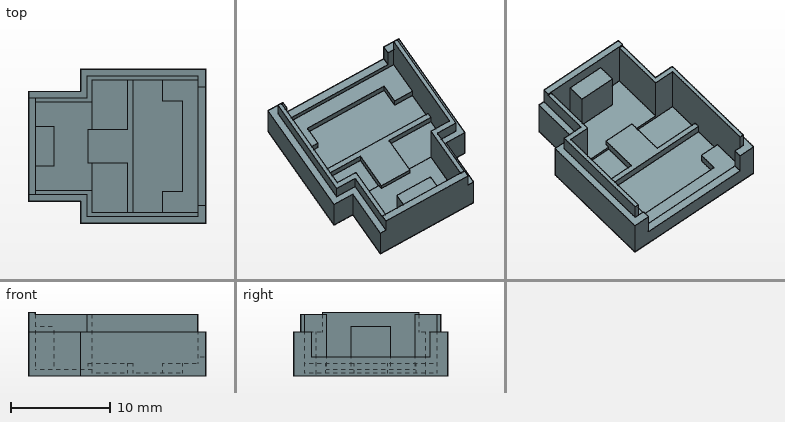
import cadquery as cq

length = 17.85
wide_width = 15.53
narrow_width = 11.07
shoulder_x = 5.25
base_height = 4.45
lip_height = 6.21
nose_wall_height = 6.4

lip_shoulder_x = 5.85
lip_narrow_width = 9.75
lip_wide_width = 14.14

nose_wall = 0.68
cavity_shoulder_x = 6.39
cavity_end_x = 17.05
cavity_narrow_width = 8.89
cavity_wide_width = 13.32
wide_floor = 0.34
narrow_floor = 0.66

opening_width = 11.96
opening_sill = 1.93

rail_height = 1.25
crossbar_start_x = 9.96
crossbar_end_x = 10.5
stem_start_x = 5.98
stem_width = 3.4
bracket_start_x = 13.48
bracket_web_x = 15.48
bracket_gap = 9.1

block_end_x = 2.53
block_width = 4.0
block_top = 5.0


def centred_box(x_start, x_end, width, z_bottom, z_top):
    """Box between two X and two Z positions, centred on Y = 0."""
    box = cq.Workplane("XY").box(x_end - x_start, width, z_top - z_bottom, centered=(False, True, False))
    return box.translate((x_start, 0, z_bottom))


def stepped_body(x_start, x_step, x_end, narrow, wide, z_top):
    """Narrow nose followed by a wide body, standing on Z = 0."""
    nose = centred_box(x_start, x_step, narrow, 0, z_top)
    return nose.union(centred_box(x_step, x_end, wide, 0, z_top))


shell = stepped_body(0, shoulder_x, length, narrow_width, wide_width, base_height)
shell = shell.union(
    stepped_body(0, lip_shoulder_x, cavity_end_x, lip_narrow_width, lip_wide_width, lip_height)
)
shell = shell.union(centred_box(0, nose_wall, lip_narrow_width, 0, nose_wall_height))

shell = shell.cut(centred_box(nose_wall, cavity_shoulder_x, cavity_narrow_width, narrow_floor, lip_height))
shell = shell.cut(centred_box(cavity_shoulder_x, cavity_end_x, cavity_wide_width, wide_floor, lip_height))
shell = shell.cut(centred_box(cavity_end_x, length, opening_width, opening_sill, base_height))

crossbar = centred_box(crossbar_start_x, crossbar_end_x, cavity_wide_width, wide_floor, rail_height)
stem = centred_box(stem_start_x, crossbar_start_x, stem_width, wide_floor, rail_height)

bracket = centred_box(bracket_start_x, cavity_end_x, cavity_wide_width, wide_floor, rail_height)
bracket = bracket.cut(centred_box(bracket_start_x, bracket_web_x, bracket_gap, wide_floor, rail_height))

nose_block = centred_box(nose_wall, block_end_x, block_width, narrow_floor, block_top)

result = shell.union(crossbar).union(stem).union(bracket).union(nose_block)